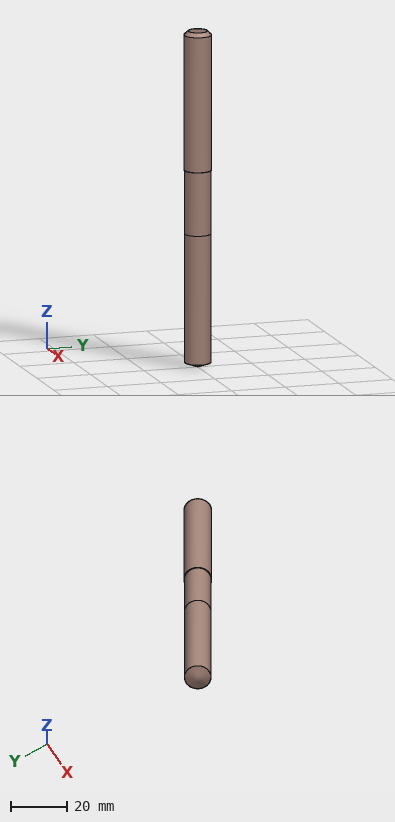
import cadquery as cq
import math

total_length = 122.7
shank_diameter = 10.0
drill_diameter = 9.5
shank_length = 50.8
cutting_length = 48.7
shank_chamfer_width = 1.5
shank_chamfer_height = 1.5
point_angle = 140.0

shank_radius = shank_diameter / 2
drill_radius = drill_diameter / 2
shank_bottom = total_length - shank_length
point_height = drill_radius / math.tan(math.radians(point_angle / 2))


def revolve_profile(points):
    """Turn a closed (radius, height) outline about the Z axis."""
    return cq.Workplane("XZ").polyline(points).close().revolve(360, (0, 0), (0, 1))


def make_shank():
    """Chamfered shank with a slimmer neck below it."""
    return revolve_profile([
        (0, cutting_length),
        (drill_radius, cutting_length),
        (drill_radius, shank_bottom),
        (shank_radius, shank_bottom),
        (shank_radius, total_length - shank_chamfer_height),
        (shank_radius - shank_chamfer_width, total_length),
        (0, total_length),
    ])


def make_cutting_part():
    """Plain cylinder that ends in a conical point."""
    return revolve_profile([
        (0, 0),
        (drill_radius, point_height),
        (drill_radius, cutting_length),
        (0, cutting_length),
    ])


shank = make_shank()
cutting_part = make_cutting_part()

result = cq.Compound.makeCompound([shank.val(), cutting_part.val()])